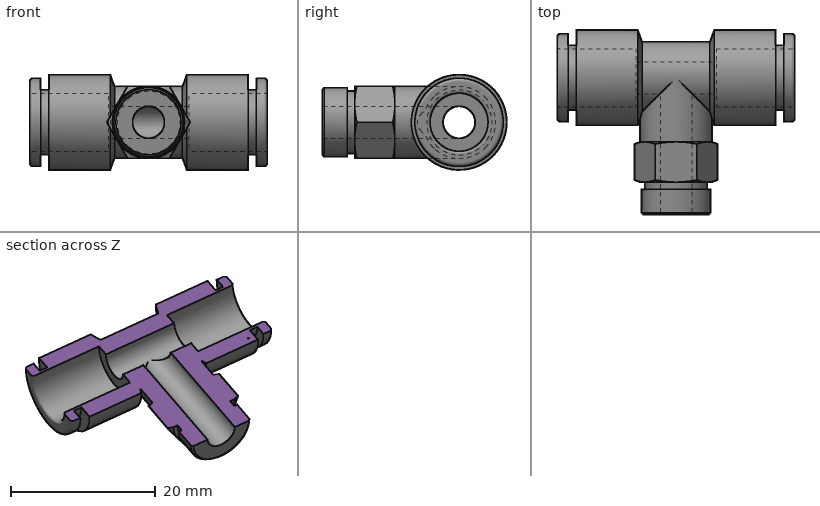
import cadquery as cq
import math

half_length = 16.4
sleeve_radius = 6.6
sleeve_outer_x = 13.75
sleeve_shoulder_x = 5.28
sleeve_inner_x = 4.7
tube_radius = 5.0
collar_radius = 6.1
collar_inner_x = 14.9
collar_round = 0.5
neck_radius = 4.5

socket_radius = 4.0
socket_depth = 10.82
socket_lip_round = 0.4
bore_radius = 2.2

hex_start = 8.85
hex_end = 14.4
thread_start = 15.4
branch_end = 18.9
undercut_radius = 4.33
thread_radius = 4.8
thread_chamfer = 0.3
hex_corner_radius = tube_radius / math.cos(math.pi / 6)
hex_corner_chamfer = 0.3


def branch_cylinder(radius, start, end):
    """Cylinder around the branch axis between two distances from the run axis."""
    return cq.Workplane("XZ").workplane(offset=start).circle(radius).extrude(end - start)


def make_run():
    """Solid of revolution about X: centre tube, sleeves, necks and collars."""
    right_profile = [
        (sleeve_inner_x, tube_radius),
        (sleeve_shoulder_x, sleeve_radius),
        (sleeve_outer_x, sleeve_radius),
        (sleeve_outer_x, neck_radius),
        (collar_inner_x, neck_radius),
        (collar_inner_x, collar_radius),
        (half_length, collar_radius),
    ]
    left_profile = [(-x, radius) for x, radius in reversed(right_profile)]
    outline = [(-half_length, 0)] + left_profile + right_profile + [(half_length, 0)]
    run = cq.Workplane("XY").polyline(outline).close().revolve(360, (0, 0, 0), (1, 0, 0))
    return run.faces("<X or >X").edges().fillet(collar_round)


def make_hex():
    """Hexagon with corners on X, its corners bevelled by a cone at both ends."""
    hexagon = (
        cq.Workplane("XZ").workplane(offset=hex_start)
        .polygon(6, 2 * hex_corner_radius)
        .extrude(hex_end - hex_start)
    )
    bevel_profile = [
        (0, -hex_start),
        (tube_radius, -hex_start),
        (hex_corner_radius, -hex_start - hex_corner_chamfer),
        (hex_corner_radius, -hex_end + hex_corner_chamfer),
        (tube_radius, -hex_end),
        (0, -hex_end),
    ]
    bevel = cq.Workplane("XY").polyline(bevel_profile).close().revolve(360, (0, 0, 0), (0, 1, 0))
    return hexagon.intersect(bevel)


def make_socket(side):
    """Tool for one tube socket with a rounded mouth; side is -1 or 1 along X."""
    mouth_radius = socket_radius + socket_lip_round
    bottom_x = half_length - socket_depth
    lip_x = half_length - socket_lip_round
    lip_middle = (
        side * (half_length - socket_lip_round * (1 - math.sin(math.pi / 4))),
        mouth_radius - socket_lip_round * math.cos(math.pi / 4),
    )
    return (
        cq.Workplane("XY")
        .moveTo(side * bottom_x, 0)
        .lineTo(side * bottom_x, socket_radius)
        .lineTo(side * lip_x, socket_radius)
        .threePointArc(lip_middle, (side * half_length, mouth_radius))
        .lineTo(side * half_length, 0)
        .close()
        .revolve(360, (0, 0, 0), (1, 0, 0))
    )


stem = branch_cylinder(tube_radius, 0, hex_start)
undercut = branch_cylinder(undercut_radius, hex_end, thread_start)
thread = branch_cylinder(thread_radius, thread_start, branch_end).faces("<Y").chamfer(thread_chamfer)

result = make_run().union(stem).union(make_hex()).union(undercut).union(thread)

run_bore = cq.Workplane("YZ").circle(bore_radius).extrude(half_length, both=True)
branch_bore = branch_cylinder(bore_radius, 0, branch_end)
result = result.cut(run_bore).cut(branch_bore)
for side in (-1, 1):
    result = result.cut(make_socket(side))